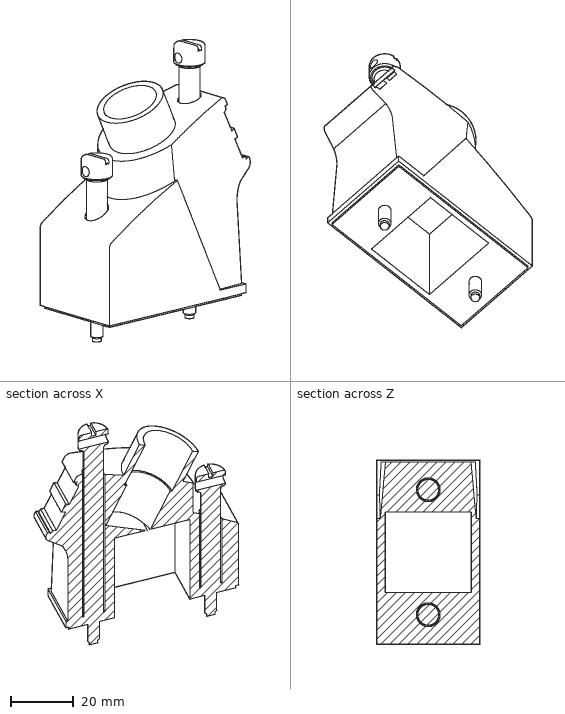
import cadquery as cq
import math


width = 33.0
length = 58.95
rear_flange_height = 2.9
lip_inset = 1.0
lip_height = 0.9
front_fillet = 2.0
block_slope_foot_y = 18.4
block_slope_top_y = -0.2

roof_radius = 200.0
roof_center_y = 80.6
hood_roof_center_z = -127.4
roof_step = 12.7

hood_top_z = 68.55
hood_front_y = -14.0
hood_rear_y = 38.4
hood_foot_side_y = 3.2
hood_top_side_y = -3.2
hood_foot_front_half = 16.5
hood_foot_rear_half = 14.8
hood_top_front_half = 15.4
hood_top_rear_half = 7.9

hood_back_y = 28.9
hood_crown = (23.95, 70.5)
crown_middle = (25.6, 64.0)
crown_end = (26.05, 63.5)
back_steps = [
    (26.9, 61.7),
    (25.7, 61.4),
    (26.05, 60.6),
    (26.0, 60.2),
    (25.1, 59.4),
    (28.3, 52.7),
    (29.5, 53.4),
    (31.0, 50.2),
    (29.6, 49.8),
    (32.7, 43.05),
    (34.0, 43.2),
    (34.6, 42.2),
    (35.1, 42.9),
    (35.7, 42.8),
]
nose_tip = (length / 2 + 6.9, 41.0)
nose_end = (34.9, 38.8)
hollow_start = (31.0, 35.7)
hollow_middle = (29.7, 33.45)
hollow_end = (hood_back_y, 29.7)

entry_tilt = 25.0
entry_top_y = -5.7
entry_top_z = 66.4
entry_outer_radius = 11.15
entry_bore_radius = 8.9
inner_bore_radius = 8.1
bore_step_depth = 16.5
bore_depth = 2 * bore_step_depth

cavity_width = 27.4
cavity_length = 25.6
cavity_ceiling_z = 33.3

screw_spacing = 39.9
front_screw_top_z = 51.1
rear_screw_top_z = 81.3
front_screw_tip_z = -10.1
rear_screw_tip_z = -9.9
screw_hole_radius = 3.75
shoulder_z = rear_flange_height
head_radius = 5.0
head_height = 6.9
head_top_fillet = 1.0
head_bottom_chamfer = 0.55
neck_radius = 4.0
neck_height = 0.7
shaft_radius = 3.4
pin_radius = 2.0
tip_radius = 1.5
tip_length = 1.6
tip_chamfer = pin_radius - tip_radius
slot_width = 1.4
slot_depth = 1.55
cross_hole_radius = 1.6
cross_hole_drop = 4.1


def roof_point(y, drop=0.0):
    """Point (y, z) of the roof arc, lowered by drop."""
    rise = math.sqrt(roof_radius**2 - (y - roof_center_y) ** 2)
    return (y, hood_roof_center_z + rise - drop)


def extrude_across(profile):
    """Extrude a closed YZ profile over the full width, centred on X."""
    return profile.extrude(width / 2, both=True)


def make_base():
    flange = cq.Workplane("XY").box(width, length, rear_flange_height, centered=(True, True, False))
    lip = (
        cq.Workplane("XY")
        .rect(width - 2 * lip_inset, length - 2 * lip_inset)
        .extrude(-lip_height)
    )
    return flange.union(lip)


def make_block():
    front_y = -length / 2
    middle_y = (front_y + block_slope_top_y) / 2
    profile = (
        cq.Workplane("YZ")
        .moveTo(front_y, 0)
        .lineTo(block_slope_foot_y, 0)
        .lineTo(block_slope_foot_y, rear_flange_height)
        .lineTo(*roof_point(block_slope_top_y, roof_step))
        .threePointArc(roof_point(middle_y, roof_step), roof_point(front_y, roof_step))
        .close()
    )
    front_roof_edge = cq.selectors.NearestToPointSelector((0, *roof_point(front_y, roof_step)))
    return extrude_across(profile).edges(front_roof_edge).fillet(front_fillet)


def hood_outline(z, side_y, front_half, rear_half):
    """Plan outline of the hood: round front, straight sides narrowing to the rear."""
    return (
        cq.Workplane("XY", origin=(0, 0, z))
        .moveTo(-front_half, side_y)
        .threePointArc((0, hood_front_y), (front_half, side_y))
        .lineTo(rear_half, hood_rear_y)
        .lineTo(-rear_half, hood_rear_y)
        .close()
        .wires()
        .val()
    )


def make_hood():
    foot = hood_outline(0, hood_foot_side_y, hood_foot_front_half, hood_foot_rear_half)
    top = hood_outline(hood_top_z, hood_top_side_y, hood_top_front_half, hood_top_rear_half)
    tapered_body = cq.Workplane(cq.Solid.makeLoft([foot, top], True))

    roof_middle_y = (hood_front_y + hood_crown[0]) / 2
    side_profile = (
        cq.Workplane("YZ")
        .moveTo(hood_front_y, 0)
        .lineTo(*roof_point(hood_front_y))
        .threePointArc(roof_point(roof_middle_y), roof_point(hood_crown[0]))
        .threePointArc(crown_middle, crown_end)
    )
    for point in back_steps:
        side_profile = side_profile.lineTo(*point)
    side_profile = (
        side_profile.threePointArc(nose_tip, nose_end)
        .lineTo(*hollow_start)
        .threePointArc(hollow_middle, hollow_end)
        .lineTo(hood_back_y, 0)
        .close()
    )
    return tapered_body.intersect(extrude_across(side_profile))


def entry_cylinder(radius, depth):
    """Cylinder running down the tilted cable entry axis from its upper end."""
    tilt = math.radians(entry_tilt)
    downward = cq.Vector(0, math.sin(tilt), -math.cos(tilt))
    start = cq.Vector(0, entry_top_y, entry_top_z)
    return cq.Workplane(cq.Solid.makeCylinder(radius, depth, start, downward))


def make_cavity():
    floor_z = -lip_height
    return (
        cq.Workplane("XY", origin=(0, 0, floor_z))
        .rect(cavity_width, cavity_length)
        .extrude(cavity_ceiling_z - floor_z)
    )


def make_screw_hole(y, top_z):
    """Clearance hole above the shoulder of the screw shaft."""
    return (
        cq.Workplane("XY", origin=(0, y, shoulder_z))
        .circle(screw_hole_radius)
        .extrude(top_z - shoulder_z)
    )


def make_screw(y, top_z, tip_z):
    head_bottom_z = top_z - head_height
    neck_bottom_z = head_bottom_z - neck_height
    pin_end_z = tip_z + tip_length
    head = (
        cq.Workplane("XY", origin=(0, y, head_bottom_z))
        .circle(head_radius)
        .extrude(head_height)
        .faces(">Z")
        .edges()
        .fillet(head_top_fillet)
        .faces("<Z")
        .edges()
        .chamfer(head_bottom_chamfer)
    )
    stem = (
        cq.Workplane("XZ")
        .moveTo(0, head_bottom_z)
        .lineTo(neck_radius, head_bottom_z)
        .lineTo(shaft_radius, neck_bottom_z)
        .lineTo(shaft_radius, shoulder_z)
        .lineTo(pin_radius, shoulder_z)
        .lineTo(pin_radius, pin_end_z)
        .lineTo(tip_radius, pin_end_z - tip_chamfer)
        .lineTo(tip_radius, tip_z)
        .lineTo(0, tip_z)
        .close()
        .revolve(360, (0, 0, 0), (0, 1, 0))
        .translate((0, y, 0))
    )
    slot = cq.Workplane("XY").box(2 * head_radius, slot_width, 2 * slot_depth).translate((0, y, top_z))
    cross_hole = (
        cq.Workplane("XZ", origin=(0, y, top_z - cross_hole_drop))
        .circle(cross_hole_radius)
        .extrude(head_radius, both=True)
    )
    return head.union(stem).cut(slot).cut(cross_hole)


screws = [
    (-screw_spacing / 2, front_screw_top_z, front_screw_tip_z),
    (screw_spacing / 2, rear_screw_top_z, rear_screw_tip_z),
]

result = make_base().union(make_block()).union(make_hood())
result = result.union(entry_cylinder(entry_outer_radius, bore_step_depth))
result = result.cut(make_cavity())
result = result.cut(entry_cylinder(entry_bore_radius, bore_step_depth))
result = result.cut(entry_cylinder(inner_bore_radius, bore_depth))
for screw_y, screw_top_z, screw_tip_z in screws:
    result = result.cut(make_screw_hole(screw_y, screw_top_z))
    result = result.union(make_screw(screw_y, screw_top_z, screw_tip_z))